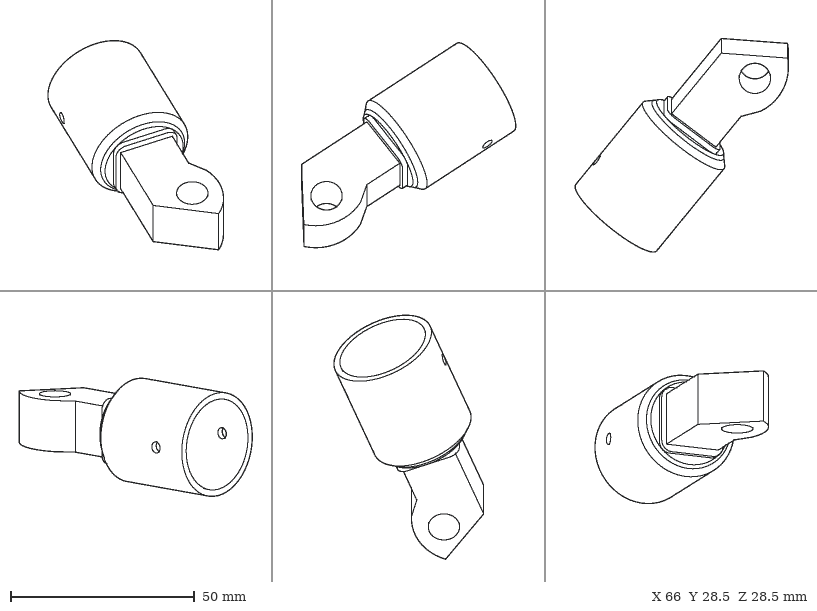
import cadquery as cq

SLEEVE_RADIUS = 14.25
BORE_RADIUS = 12.5
SLEEVE_STRAIGHT_END = 29.7
SLEEVE_END = 31.55
PIN_HOLE_DIAMETER = 3.05
PIN_HOLE_X = 9.5

PLUG_START = 26.4
PLUG_END = 32.55
PLUG_TIP_RADIUS = 11.6

COLLAR_WIDTH = 18.1
COLLAR_CORNER_RADIUS = 3.0
COLLAR_END = 34.1

LUG_THICKNESS = 14.2
LUG_HALF_WIDTH = 7.65
SHOULDER_X = 45.15
ARC_START = (49.6, 10.95)
ARC_CROWN = (55.45, 12.2)
LUG_TIP = (66.0, 7.4)
EYE_X = 56.0
EYE_Y = 3.95
EYE_DIAMETER = 8.5


def make_sleeve():
    """Tube with a conical nose and one cross hole through both walls along Y."""
    tube = (
        cq.Workplane("XY")
        .moveTo(0, BORE_RADIUS)
        .lineTo(0, SLEEVE_RADIUS)
        .lineTo(SLEEVE_STRAIGHT_END, SLEEVE_RADIUS)
        .lineTo(SLEEVE_END, BORE_RADIUS)
        .close()
        .revolve(360, (0, 0, 0), (1, 0, 0))
    )
    pin_hole = (
        cq.Workplane("XZ")
        .center(PIN_HOLE_X, 0)
        .circle(PIN_HOLE_DIAMETER / 2)
        .extrude(SLEEVE_RADIUS, both=True)
    )
    return tube.cut(pin_hole)


def make_plug_disc():
    """Disc that fills the bore, tapered where it leaves the sleeve."""
    return (
        cq.Workplane("XY")
        .moveTo(PLUG_START, 0)
        .lineTo(PLUG_START, BORE_RADIUS)
        .lineTo(SLEEVE_END, BORE_RADIUS)
        .lineTo(PLUG_END, PLUG_TIP_RADIUS)
        .lineTo(PLUG_END, 0)
        .close()
        .revolve(360, (0, 0, 0), (1, 0, 0))
    )


def make_collar():
    """Square collar with rounded corners."""
    return (
        cq.Workplane("YZ", origin=(PLUG_END, 0, 0))
        .rect(COLLAR_WIDTH, COLLAR_WIDTH)
        .extrude(COLLAR_END - PLUG_END)
        .edges("|X")
        .fillet(COLLAR_CORNER_RADIUS)
    )


def make_lug():
    """Flat blade with a curved crown, a slanted end and an eye along Z."""
    blade = (
        cq.Workplane("XY")
        .moveTo(COLLAR_END, -LUG_HALF_WIDTH)
        .lineTo(COLLAR_END, LUG_HALF_WIDTH)
        .lineTo(SHOULDER_X, LUG_HALF_WIDTH)
        .lineTo(*ARC_START)
        .threePointArc(ARC_CROWN, LUG_TIP)
        .lineTo(EYE_X, -LUG_HALF_WIDTH)
        .close()
        .extrude(LUG_THICKNESS / 2, both=True)
    )
    eye = (
        cq.Workplane("XY")
        .center(EYE_X, EYE_Y)
        .circle(EYE_DIAMETER / 2)
        .extrude(LUG_THICKNESS, both=True)
    )
    return blade.cut(eye)


def make_plug():
    """Plug disc, collar and lug as one solid."""
    return make_plug_disc().union(make_collar()).union(make_lug())


sleeve = make_sleeve()
plug = make_plug()
result = cq.Compound.makeCompound([sleeve.val(), *plug.vals()])